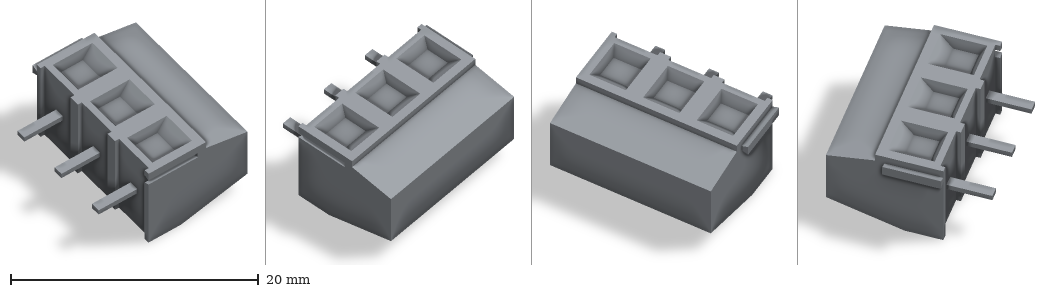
import cadquery as cq


overall_width = 15.6
rail_reach = 0.6
pole_count = 3
housing_width = overall_width - rail_reach
pitch = housing_width / pole_count
housing_depth = 10.0
housing_height = 8.2
top_land_depth = 5.8
step_drop = 0.7
back_top_drop = 1.5
back_bottom_rise = 1.7
base_depth = 3.3

end_strip_width = 0.5
recess_width = pitch - 2 * end_strip_width
recess_depth = 0.4

pin_length = 3.5
pin_width = 0.9
pin_height = 0.5
pin_center_height = housing_height / 2

pocket_width = 3.4
pocket_front = 1.0
pocket_back = 5.0
floor_width = 2.8
floor_front = 1.62
floor_back = 3.8
pocket_depth = 1.0

dovetail_length = 5.0
dovetail_center_height = housing_height - 1.03
dovetail_neck_height = 0.5
dovetail_outer_height = 0.9


def make_housing():
    """Side outline in the YZ plane, extruded along X."""
    outline = [
        (0, 0),
        (base_depth, 0),
        (housing_depth, back_bottom_rise),
        (housing_depth, housing_height - back_top_drop),
        (top_land_depth, housing_height - step_drop),
        (top_land_depth, housing_height),
        (0, housing_height),
    ]
    return cq.Workplane("YZ").polyline(outline).close().extrude(housing_width)


def make_recess(center_x):
    """Full-height shallow recess in the pin face."""
    return cq.Workplane("XY").box(
        recess_width, recess_depth, housing_height, centered=(True, False, False)
    ).translate((center_x, 0, 0))


def make_pin(center_x):
    """Straight pin that starts on the floor of the recess."""
    return cq.Workplane("XY").box(
        pin_width, pin_length + recess_depth, pin_height, centered=(True, False, True)
    ).translate((center_x, -pin_length, pin_center_height))


def make_pocket(center_x):
    """Pocket with a rectangular mouth and a smaller, forward-shifted floor."""
    mouth_length = pocket_back - pocket_front
    floor_length = floor_back - floor_front
    mouth_center_y = (pocket_front + pocket_back) / 2
    floor_center_y = (floor_front + floor_back) / 2
    return (
        cq.Workplane("XY", origin=(center_x, mouth_center_y, housing_height))
        .rect(pocket_width, mouth_length)
        .workplane(offset=-pocket_depth)
        .center(0, floor_center_y - mouth_center_y)
        .rect(floor_width, floor_length)
        .loft(ruled=True)
    )


def make_dovetail(end_x):
    """Dovetail bar with its neck on the plane X = end_x, widening toward -X."""
    outer_x = end_x - rail_reach
    half_neck = dovetail_neck_height / 2
    half_outer = dovetail_outer_height / 2
    outline = [
        (end_x, -half_neck),
        (end_x, half_neck),
        (outer_x, half_outer),
        (outer_x, -half_outer),
    ]
    return (
        cq.Workplane("XZ", origin=(0, 0, dovetail_center_height))
        .polyline(outline)
        .close()
        .extrude(-dovetail_length)
    )


result = make_housing()
for pole in range(pole_count):
    pole_x = (pole + 0.5) * pitch
    result = result.cut(make_recess(pole_x))
    result = result.cut(make_pocket(pole_x))
    result = result.union(make_pin(pole_x))

result = result.union(make_dovetail(0))
result = result.cut(make_dovetail(housing_width))